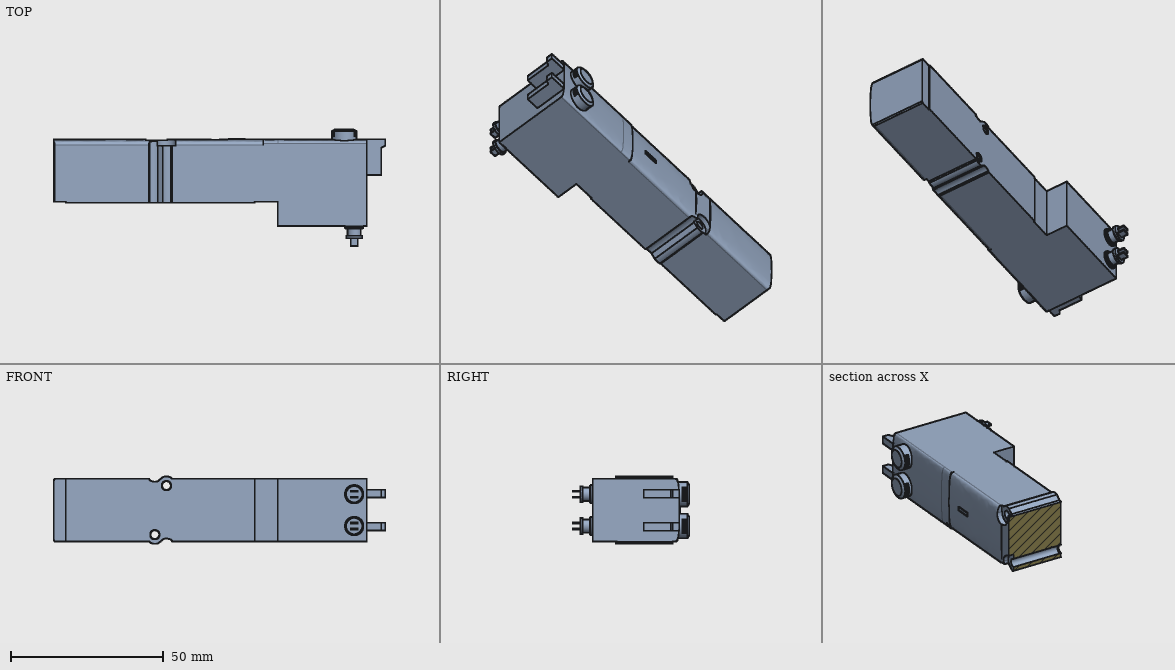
import cadquery as cq
import math


BODY_LENGTH = 102.4
BODY_HALF_HEIGHT = 10.3
FRONT_DEPTH = 20.8
BAND_RECESS = 0.3
CAP_LENGTH = 4.0
BAND_START = 65.8
BLOCK_START = 73.2
BLOCK_DEPTH = 28.4
END_CHAMFER_X = 0.3
END_CHAMFER_Z = 0.7

VALVE_LENGTH = 68.6
VALVE_CROWN = 1.8
BLOCK_CROWN = 1.3
CROWN_FULLNESS = 0.8
SADDLE_START = 30.2
SADDLE_END = 37.1
SADDLE_DEPTH = 0.3

HOLE_SITES = [(36.9, 8.0, 2.8), (33.1, -8.0, 2.8)]
HOLE_X, HOLE_Z, _ = HOLE_SITES[0]
NOTCH_X = HOLE_SITES[1][0]
MID_X = (HOLE_X + NOTCH_X) / 2
LUG_RADIUS = 3.0
RELIEF_DIAMETER = 3.1
RELIEF_DEPTH = 0.5
SEAT_DEPTH = 2.2
NOTCH_DEPTH = 1.0
LUG_ARC_START = HOLE_X - 1.2
LUG_ARC_END = HOLE_X + 1.4
LUG_FOOT = HOLE_X + 1.8
NOTCH_MOUTH = NOTCH_X - 2.0
NOTCH_ARC_START = NOTCH_X - 1.6
NOTCH_ARC_END = NOTCH_X + 1.0

BUTTON_X = 59.9
BUTTON_LENGTH = 5.3
BUTTON_WIDTH = 1.3
BUTTON_HEIGHT = 0.2

PORT_Z = 5.2
KNOB_X = 95.0
KNOB_DIAMETER = 8.1
KNOB_HEIGHT = 3.3
KNOB_CHAMFER_DROP = 0.7
KNOB_CHAMFER_INSET = 1.1
KNOB_SLOT_PLACES = (1.0, 1.6)
KNOB_SLOT_WIDTH = 0.4
KNOB_SLOT_LENGTH = 4.6
KNOB_SLOT_DEPTH = 0.8
PLUG_X = 98.3
PLUG_STEPS = [(6.1, 0.9), (4.5, 2.3), (5.3, 0.9)]
PLUG_CHAMFER = 0.3
BLADE_WIDTH = 2.4
BLADE_THICKNESS = 0.4
BLADE_OFFSET = 1.0
BLADE_LENGTH = 2.5

HOOK_Z = 5.4
HOOK_THICKNESS = 2.6
HOOK_TIP_X = 108.5
HOOK_STEM_X = 107.2
HOOK_DEPTH = 11.7
HOOK_LIP = 2.2
HOOK_SLOPE = 0.7


def box(x_range, y_range, z_range):
    """Axis-aligned box between the given limits."""
    size = [high - low for low, high in (x_range, y_range, z_range)]
    corner = (x_range[0], y_range[0], z_range[0])
    return cq.Workplane("XY").box(*size, centered=False).translate(corner)


def disc(x, z, diameter, y_start, y_end):
    """Cylinder along Y between two Y positions."""
    plane = cq.Workplane("XZ", origin=(x, y_start, z))
    return plane.circle(diameter / 2).extrude(y_start - y_end)


def crown_poles(drop):
    """Bezier poles (Y, Z) of a crown that leaves both sides tangentially and peaks at Y = 0."""
    half = BODY_HALF_HEIGHT
    pole_y = drop / 15
    inner_z = CROWN_FULLNESS * half
    return [
        (-drop, -half),
        (pole_y, -half),
        (pole_y, -inner_z),
        (pole_y, inner_z),
        (pole_y, half),
        (-drop, half),
    ]


def crowned_bar(x_start, x_end, depth, crown_drop):
    """Bar along X with a flat front and a crowned back."""
    half = BODY_HALF_HEIGHT
    return (
        cq.Workplane("YZ", origin=(x_start, 0, 0))
        .moveTo(-depth, -half)
        .lineTo(-crown_drop, -half)
        .bezier(crown_poles(crown_drop))
        .lineTo(-depth, half)
        .close()
        .extrude(x_end - x_start)
    )


def end_chamfer():
    """Wedge removed from the +Z edge of the left end."""
    half = BODY_HALF_HEIGHT
    wedge = cq.Workplane("XZ").polyline(
        [(0, half), (END_CHAMFER_X, half), (0, half - END_CHAMFER_Z)]
    )
    return wedge.close().extrude(FRONT_DEPTH)


def circle_height(offset):
    """Height of the lug circle above its centre at an X offset from that centre."""
    return math.sqrt(LUG_RADIUS**2 - offset**2)


def lug():
    """Rounded lug beside the +Z hole, from the hole seat to the front face."""
    arc_start = (LUG_ARC_START, HOLE_Z + circle_height(LUG_ARC_START - HOLE_X))
    arc_end = (LUG_ARC_END, HOLE_Z + circle_height(LUG_ARC_END - HOLE_X))
    return (
        cq.Workplane("XZ", origin=(0, -SEAT_DEPTH, 0))
        .moveTo(*notch_arc_end())
        .lineTo(*arc_start)
        .threePointArc((HOLE_X, HOLE_Z + LUG_RADIUS), arc_end)
        .lineTo(LUG_FOOT, BODY_HALF_HEIGHT)
        .lineTo(LUG_FOOT, HOLE_Z)
        .lineTo(NOTCH_ARC_END, HOLE_Z)
        .close()
        .extrude(FRONT_DEPTH - SEAT_DEPTH)
    )


def notch_height(x):
    """Z of the hollow notch floor at a given X."""
    return BODY_HALF_HEIGHT - NOTCH_DEPTH + LUG_RADIUS - circle_height(x - NOTCH_X)


def notch_arc_end():
    """Point where the notch floor meets the slope of the lug."""
    return NOTCH_ARC_END, notch_height(NOTCH_ARC_END)


def notch():
    """Hollow beside the +Z lug, cut through the whole depth."""
    arc_end_x, arc_end_z = notch_arc_end()
    slope_run = LUG_ARC_START - arc_end_x
    slope_rise = HOLE_Z + circle_height(LUG_ARC_START - HOLE_X) - arc_end_z
    slope_top_x = arc_end_x + slope_run * (BODY_HALF_HEIGHT - arc_end_z) / slope_rise
    return (
        cq.Workplane("XZ")
        .moveTo(NOTCH_MOUTH, BODY_HALF_HEIGHT)
        .lineTo(NOTCH_ARC_START, notch_height(NOTCH_ARC_START))
        .threePointArc((NOTCH_X, notch_height(NOTCH_X)), (arc_end_x, arc_end_z))
        .lineTo(slope_top_x, BODY_HALF_HEIGHT)
        .close()
        .extrude(FRONT_DEPTH)
    )


def half_turn(shape):
    """Copy turned half a turn about the Y-direction line midway between the holes."""
    return shape.rotate((MID_X, 0, 0), (MID_X, 1, 0), 180)


def seat(x, z):
    """U-shaped screw seat in the back, open towards the nearer side of the body."""
    outer_z = math.copysign(BODY_HALF_HEIGHT, z)
    opening = box((x - LUG_RADIUS, x + LUG_RADIUS), (-SEAT_DEPTH, 0), sorted((z, outer_z)))
    return disc(x, z, 2 * LUG_RADIUS, 0, -SEAT_DEPTH).union(opening)


def knob(z):
    """Round knob on the back with a chamfered rim and two flat slots on each flank."""
    base = disc(KNOB_X, z, KNOB_DIAMETER, -BLOCK_CROWN, KNOB_HEIGHT)
    shape = base.faces(">Y").chamfer(KNOB_CHAMFER_DROP, KNOB_CHAMFER_INSET)
    slot_floor = KNOB_DIAMETER / 2 - KNOB_SLOT_DEPTH
    for slot_y in KNOB_SLOT_PLACES:
        for side in (-1, 1):
            x_limits = sorted((KNOB_X + side * slot_floor, KNOB_X + side * KNOB_DIAMETER / 2))
            y_limits = (slot_y, slot_y + KNOB_SLOT_WIDTH)
            z_limits = (z - KNOB_SLOT_LENGTH / 2, z + KNOB_SLOT_LENGTH / 2)
            shape = shape.cut(box(x_limits, y_limits, z_limits))
    return shape


def plug(z):
    """Stepped round plug with a chamfered flange and two contact blades on the block front."""
    y = -BLOCK_DEPTH
    flange, stem, rim = PLUG_STEPS
    body = disc(PLUG_X, z, flange[0], y, y - flange[1]).faces("<Y").chamfer(PLUG_CHAMFER)
    y -= flange[1]
    for diameter, length in (stem, rim):
        body = body.union(disc(PLUG_X, z, diameter, y, y - length))
        y -= length
    for side in (-1, 1):
        blade_z = z + side * BLADE_OFFSET
        blade = box(
            (PLUG_X - BLADE_WIDTH / 2, PLUG_X + BLADE_WIDTH / 2),
            (y - BLADE_LENGTH, y),
            (blade_z - BLADE_THICKNESS / 2, blade_z + BLADE_THICKNESS / 2),
        )
        body = body.union(blade)
    return body


def hook(z):
    """Snap hook on the right end."""
    outline = [
        (BODY_LENGTH, 0),
        (HOOK_TIP_X, 0),
        (HOOK_TIP_X, -HOOK_LIP),
        (HOOK_STEM_X, -HOOK_LIP - HOOK_SLOPE),
        (HOOK_STEM_X, -HOOK_DEPTH),
        (BODY_LENGTH, -HOOK_DEPTH),
    ]
    plane = cq.Workplane("XY", origin=(0, 0, z - HOOK_THICKNESS / 2))
    return plane.polyline(outline).close().extrude(HOOK_THICKNESS)


full_height = (-BODY_HALF_HEIGHT, BODY_HALF_HEIGHT)
recess_range = (-FRONT_DEPTH, -FRONT_DEPTH + BAND_RECESS)
valve = crowned_bar(0, VALVE_LENGTH, FRONT_DEPTH, VALVE_CROWN)
joint = crowned_bar(VALVE_LENGTH, BLOCK_START, FRONT_DEPTH, BLOCK_CROWN)
block = crowned_bar(BLOCK_START, BODY_LENGTH, BLOCK_DEPTH, BLOCK_CROWN)
result = valve.union(joint).union(block)
for recess_span in ((0, CAP_LENGTH), (BAND_START, BLOCK_START)):
    result = result.cut(box(recess_span, recess_range, full_height))
chamfer = end_chamfer()
result = result.cut(chamfer).cut(chamfer.mirror("XY"))

upper_notch = notch()
upper_lug = lug()
result = result.cut(upper_notch).cut(half_turn(upper_notch))
result = result.union(upper_lug).union(half_turn(upper_lug))

result = result.cut(box((SADDLE_START, SADDLE_END), (-SADDLE_DEPTH, 0), full_height))

for hole_x, hole_z, hole_diameter in HOLE_SITES:
    result = result.cut(disc(hole_x, hole_z, hole_diameter, 0, -FRONT_DEPTH))
    relief = disc(hole_x, hole_z, RELIEF_DIAMETER, RELIEF_DEPTH - FRONT_DEPTH, -FRONT_DEPTH)
    result = result.cut(relief)
    result = result.cut(seat(hole_x, hole_z))

result = result.union(
    box(
        (BUTTON_X - BUTTON_LENGTH / 2, BUTTON_X + BUTTON_LENGTH / 2),
        (-VALVE_CROWN, BUTTON_HEIGHT),
        (-BUTTON_WIDTH / 2, BUTTON_WIDTH / 2),
    )
)

for side in (-1, 1):
    result = result.union(knob(side * PORT_Z))
    result = result.union(plug(side * PORT_Z))
    result = result.union(hook(side * HOOK_Z))